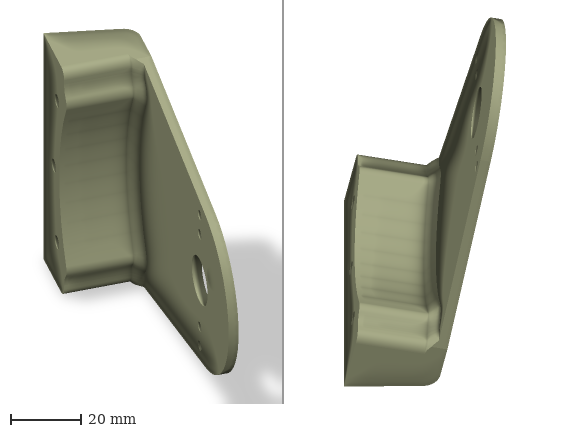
import cadquery as cq
import math

length = 102.5
depth = 26.0
height = 80.0
half_height = height / 2

plate_thickness = 3.0
taper_start_x = 19.8
tip_radius = 27.5
tip_x = length - tip_radius
bore_radius = 7.5
small_hole_radius = 1.5
small_hole_heights = (16.4, 23.2)

lean = 5.6
back_edge_radius = 5.1
flare = 3.0
wall_x = 19.7
end_corner_radius = 2.9
hollow_radius = 6.6
hollow_start_z = 35.6
lobe_radius = 3.6
hollow_angle = math.radians(39)
saddle_radius = 60.0
saddle_x = 15.0

screw_radius = 2.0
sink_radius = 6.6
sink_angle = math.radians(90)
screw_places = ((12.9, -25.0), (9.9, 0.0), (12.9, 25.0))


def on_circle(center, radius, angle):
    return (center[0] + radius * math.cos(angle), center[1] + radius * math.sin(angle))


def front_plane(y):
    """Sketch plane with local X, Y along X, Z and its normal toward -Y."""
    return cq.Workplane("XZ", origin=(0, y, 0))


def plate_outline(workplane):
    """Straight left end, tapering tangentially into the round tip."""
    dx = taper_start_x - tip_x
    tangent_angle = math.atan2(half_height, dx) - math.acos(tip_radius / math.hypot(dx, half_height))
    tangent_x, tangent_z = on_circle((tip_x, 0), tip_radius, tangent_angle)
    return (
        workplane.moveTo(0, -half_height)
        .lineTo(taper_start_x, -half_height)
        .lineTo(tangent_x, -tangent_z)
        .threePointArc((length, 0), (tangent_x, tangent_z))
        .lineTo(taper_start_x, half_height)
        .lineTo(0, half_height)
        .close()
    )


def block_outline(workplane):
    """Block footprint, with tangent arcs along its inner wall, symmetric about Z = 0."""
    corner_center = (wall_x - end_corner_radius, half_height - end_corner_radius)
    hollow_center = (wall_x + hollow_radius, hollow_start_z)
    lobe_center = on_circle(hollow_center, hollow_radius + lobe_radius, math.pi + hollow_angle)
    saddle_center = (saddle_x + saddle_radius, 0)
    lobe_end_angle = math.atan2(-lobe_center[1], saddle_center[0] - lobe_center[0])

    corner_mid = on_circle(corner_center, end_corner_radius, math.pi / 4)
    hollow_mid = on_circle(hollow_center, hollow_radius, math.pi + hollow_angle / 2)
    hollow_end = on_circle(hollow_center, hollow_radius, math.pi + hollow_angle)
    lobe_mid = on_circle(lobe_center, lobe_radius, (hollow_angle + lobe_end_angle) / 2)
    saddle_end = on_circle(lobe_center, lobe_radius, lobe_end_angle)

    def mirrored(point):
        return (point[0], -point[1])

    return (
        workplane.moveTo(0, half_height)
        .lineTo(corner_center[0], half_height)
        .threePointArc(corner_mid, (wall_x, corner_center[1]))
        .lineTo(wall_x, hollow_start_z)
        .threePointArc(hollow_mid, hollow_end)
        .threePointArc(lobe_mid, saddle_end)
        .threePointArc((saddle_x, 0), mirrored(saddle_end))
        .threePointArc(mirrored(lobe_mid), mirrored(hollow_end))
        .threePointArc(mirrored(hollow_mid), (wall_x, -hollow_start_z))
        .lineTo(wall_x, -corner_center[1])
        .threePointArc(mirrored(corner_mid), (corner_center[0], -half_height))
        .lineTo(0, -half_height)
        .close()
    )


def make_flare():
    """Block footprint growing at 45 degrees toward the plate, trimmed to the plate outline."""
    flare_front = -(plate_thickness + flare)
    workplane = cq.Workplane(cq.Plane((0, flare_front, 0), xDir=(1, 0, 0), normal=(0, 1, 0)))
    spread = block_outline(workplane).extrude(flare, taper=-45)
    return spread.intersect(plate_outline(front_plane(0)).extrude(depth))


def make_side_profile():
    """Slab that trims the outer wall to its lean and rounds its back edge."""
    return (
        cq.Workplane("XY", origin=(0, 0, -half_height))
        .polyline([(0, -depth), (length, -depth), (length, 0), (lean, 0)])
        .close()
        .extrude(height)
        .edges(cq.selectors.NearestToPointSelector((lean, 0, 0)))
        .fillet(back_edge_radius)
    )


def countersunk_screw(x, z):
    """Through hole with a conical sink in the back face."""
    sink_depth = (sink_radius - screw_radius) / math.tan(sink_angle / 2)
    axis = cq.Vector(0, -1, 0)
    hole = cq.Solid.makeCylinder(screw_radius, depth, cq.Vector(x, 0, z), axis)
    sink = cq.Solid.makeCone(sink_radius, screw_radius, sink_depth, cq.Vector(x, 0, z), axis)
    return hole.fuse(sink)


plate = plate_outline(front_plane(0)).extrude(plate_thickness)
block = block_outline(front_plane(0)).extrude(depth)
result = plate.union(block).union(make_flare()).intersect(make_side_profile())

for screw_x, screw_z in screw_places:
    result = result.cut(cq.Workplane(countersunk_screw(screw_x, screw_z)))

small_holes = [(tip_x, side * z) for z in small_hole_heights for side in (-1, 1)]
result = result.cut(front_plane(0).center(tip_x, 0).circle(bore_radius).extrude(plate_thickness))
result = result.cut(front_plane(0).pushPoints(small_holes).circle(small_hole_radius).extrude(plate_thickness))